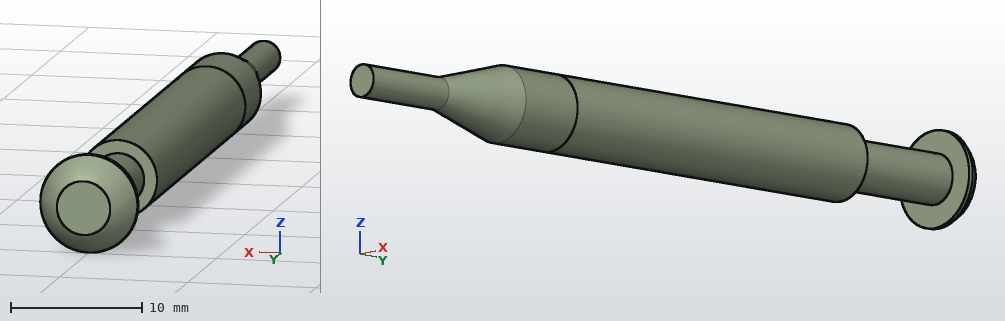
import cadquery as cq

TOTAL_LENGTH = 63.2
TIP_LENGTH = 8.0
CONE_LENGTH = 6.5
COLLAR_LENGTH = 5.5
SHANK_LENGTH = 10.05
HEAD_HEIGHT = 2.2
RIM_HEIGHT = 0.4
NOSE_LENGTH = TIP_LENGTH + CONE_LENGTH + COLLAR_LENGTH
BARREL_LENGTH = TOTAL_LENGTH - NOSE_LENGTH - SHANK_LENGTH - HEAD_HEIGHT

TIP_DIAMETER = 2.5
BARREL_DIAMETER = 6.0
SHANK_DIAMETER = 4.0
HEAD_DIAMETER = 7.6
HEAD_TOP_DIAMETER = 4.2
DOME_BULGE = 0.2

TIP_END = -TOTAL_LENGTH / 2
CONE_START = TIP_END + TIP_LENGTH
COLLAR_START = CONE_START + CONE_LENGTH
BARREL_START = TIP_END + NOSE_LENGTH
SHANK_START = BARREL_START + BARREL_LENGTH
HEAD_START = SHANK_START + SHANK_LENGTH
RIM_END = HEAD_START + RIM_HEIGHT
HEAD_TOP = HEAD_START + HEAD_HEIGHT


def revolve_about_y(profile):
    """Close a half profile drawn in the XY plane and turn it about Y."""
    return profile.close().revolve(360, (0, 0, 0), (0, 1, 0))


def make_nose():
    """Slim tip that widens through a cone to a collar as wide as the barrel."""
    profile = (
        cq.Workplane("XY")
        .moveTo(0, TIP_END)
        .lineTo(TIP_DIAMETER / 2, TIP_END)
        .lineTo(TIP_DIAMETER / 2, CONE_START)
        .lineTo(BARREL_DIAMETER / 2, COLLAR_START)
        .lineTo(BARREL_DIAMETER / 2, BARREL_START)
        .lineTo(0, BARREL_START)
    )
    return revolve_about_y(profile)


def make_barrel():
    """Plain round barrel between the nose and the screw."""
    profile = (
        cq.Workplane("XY")
        .moveTo(0, BARREL_START)
        .lineTo(BARREL_DIAMETER / 2, BARREL_START)
        .lineTo(BARREL_DIAMETER / 2, SHANK_START)
        .lineTo(0, SHANK_START)
    )
    return revolve_about_y(profile)


def make_screw():
    """Round shank with a flat-topped button head."""
    profile = (
        cq.Workplane("XY")
        .moveTo(0, SHANK_START)
        .lineTo(SHANK_DIAMETER / 2, SHANK_START)
        .lineTo(SHANK_DIAMETER / 2, HEAD_START)
        .lineTo(HEAD_DIAMETER / 2, HEAD_START)
        .lineTo(HEAD_DIAMETER / 2, RIM_END)
        .sagittaArc((HEAD_TOP_DIAMETER / 2, HEAD_TOP), -DOME_BULGE)
        .lineTo(0, HEAD_TOP)
    )
    return revolve_about_y(profile)


nose = make_nose()
barrel = make_barrel()
screw = make_screw()

result = cq.Compound.makeCompound([nose.val(), barrel.val(), screw.val()])